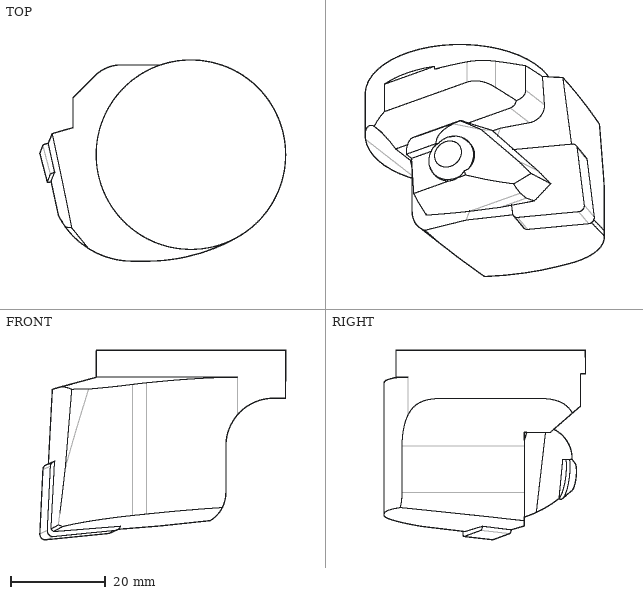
import cadquery as cq
import math

DISC_RADIUS = 20.0
DISC_HEIGHT = 5.7
CONE_ANGLE = 15.0
SHOULDER_REACH = 40.0

SIDE_RADIUS = 17.5
BACK_SIDE_RADIUS = 38.7
FRONT_Y = -22.5
FLAT_START_X = -12.3
FLAT_END_X = -9.4
DISC_MEET_X = 9.8
SIDE_SWEEP = 75.0
STOCK_X = -36.0
FLOOR_Y = 7.1
HEAD_DEPTH = 45.0

OVERHANG_X = -24.9
OVERHANG_Y = 18.95
OVERHANG_CORNER_Y = 12.0
OVERHANG_CORNER_RADIUS = 8.0
OVERHANG_BOTTOM = -17.3
OVERHANG_LIP_RADIUS = 3.5
OVERHANG_SLOPE_TOP = -11.8
OVERHANG_SLOPE_Y = 12.6
OVERHANG_INNER_Y = 3.0
FLAT_TOP = -5.0

NECK_X = 7.4
NECK_TOP = -10.15
NECK_RADIUS = 10.0
HEEL_TOP = -30.0
HEEL_RADIUS = 7.0

FRONT_FACE = ((-29.3, 4.7, -8.3), (-1.0, -0.207, 0.08))
BOTTOM_FACE = ((6.8, -18.6, -33.2), (0.106, -0.0961, -1.0))
TOE_CHAMFER = 0.6
TOE_POINT = (-29.0, -6.0, -38.5)

CORNER_TOP = cq.Vector(-25.3, -15.2, -8.0)
CORNER_TOP_ANGLE = -51.0
CORNER_BOTTOM = cq.Vector(-26.35, -15.45, -24.4)
CORNER_BOTTOM_ANGLE = -61.0
CORNER_REACH = 10.0

INSERT_TIP = cq.Vector(-31.95, 0.1, -40.13)
RAKE_NORMAL = cq.Vector(-0.25, 0.96, -0.11).normalized()
EDGE_DIRECTION = cq.Vector(1.0, 0.272, 0.1)
INSERT_ANGLE = 80.0
INSERT_EDGE = 16.1
INSERT_THICKNESS = 6.35
INSERT_NOSE_RADIUS = 1.2

CLAMP_START_X = -30.0
CLAMP_END_X = 2.0
CLAMP_ROOT_Y = -1.0
CLAMP_ROOT_TOP = -17.0
CLAMP_UNDERSIDE = -35.6
CLAMP_SHOULDER = (13.0, -16.5)
CLAMP_BACK_MIDDLE = (16.2, -19.3)
CLAMP_BACK_END = (17.2, -23.0)
CLAMP_SEAT_TOP = (15.2, -23.0)
CLAMP_SEAT_END = (14.4, -31.3)
CLAMP_HEEL_MIDDLE = (11.6, -33.2)
CLAMP_HEEL_END = (7.1, -35.2)
CLAMP_NOSE_Y = 5.3

RIDGE_TOP = (-14.0, 12.7, -20.1)
RIDGE_BOTTOM = (-21.1, 9.1, -28.6)
SHOULDER_TOP = (-9.0, 14.8, -16.8)
CLAMP_FACETS = (
    (RIDGE_TOP, (-15.0, 7.1, -19.6), (-26.0, 2.2, -33.0)),
    (RIDGE_BOTTOM, (-22.4, 3.3, -28.4), (-24.3, 5.0, -32.0)),
    (RIDGE_TOP, RIDGE_BOTTOM, (-11.0, 14.5, -31.0)),
    (RIDGE_TOP, SHOULDER_TOP, (-13.3, 8.2, -17.7)),
    (RIDGE_TOP, SHOULDER_TOP, (-9.0, 16.5, -22.0)),
    ((-23.7, 7.8, -31.7), (-25.3, 2.2, -32.3), (-22.0, 4.0, -34.7)),
)

SCREW_BASE = cq.Vector(-8.0, 14.6, -26.4)
SCREW_RADIUS = 5.0
SCREW_TOP_RADIUS = 3.0
SCREW_HEAD_HEIGHT = 2.8
SCREW_RIM = 0.8

CUTTER = 120.0


def beyond(point, normal):
    """Block that fills the space on the outward side of a slanted face."""
    plane = cq.Plane(origin=point, normal=normal)
    return cq.Workplane(plane).rect(CUTTER, CUTTER).extrude(CUTTER)


def beyond_points(first, second, third):
    """Block beyond the face through three points, on its -X side."""
    a, b, c = cq.Vector(first), cq.Vector(second), cq.Vector(third)
    normal = (b - a).cross(c - a)
    if normal.x > 0:
        normal = normal * -1
    return beyond(first, normal.toTuple())


def disc():
    """Round coupling disc."""
    return cq.Workplane("XY").circle(DISC_RADIUS).extrude(-DISC_HEIGHT)


def shoulder_envelope():
    """Everything under the conical shoulder."""
    fall = (SHOULDER_REACH - DISC_RADIUS) * math.tan(math.radians(CONE_ANGLE))
    return (
        cq.Workplane("XZ")
        .moveTo(0, -DISC_HEIGHT)
        .lineTo(DISC_RADIUS, -DISC_HEIGHT)
        .lineTo(SHOULDER_REACH, -DISC_HEIGHT - fall)
        .lineTo(SHOULDER_REACH, -HEAD_DEPTH)
        .lineTo(0, -HEAD_DEPTH)
        .close()
        .revolve(360, (0, 0), (0, 1))
    )


def main_block():
    """Part of the head between the curved side and the gullet floor."""
    def side_point(angle):
        a = math.radians(angle)
        return (
            FLAT_START_X - SIDE_RADIUS * math.sin(a),
            FRONT_Y + SIDE_RADIUS * (1 - math.cos(a)),
        )

    side_end = side_point(SIDE_SWEEP)
    disc_meet = (DISC_MEET_X, -math.sqrt(DISC_RADIUS**2 - DISC_MEET_X**2))
    floor_end = (math.sqrt(DISC_RADIUS**2 - FLOOR_Y**2), FLOOR_Y)
    return (
        cq.Workplane("XY", origin=(0, 0, -DISC_HEIGHT))
        .moveTo(STOCK_X, FLOOR_Y)
        .lineTo(STOCK_X, side_end[1])
        .lineTo(*side_end)
        .threePointArc(side_point(SIDE_SWEEP / 2), (FLAT_START_X, FRONT_Y))
        .lineTo(FLAT_END_X, FRONT_Y)
        .radiusArc(disc_meet, -BACK_SIDE_RADIUS)
        .threePointArc((DISC_RADIUS, 0), floor_end)
        .close()
        .extrude(DISC_HEIGHT - HEAD_DEPTH)
    )


def corner_cutter():
    """Twisted wedge that trims the corner, running out at its lower end."""
    def section(point, angle):
        along = cq.Vector(CORNER_REACH, 0, 0)
        outward = cq.Vector(0, -CORNER_REACH, 0)
        turn = cq.Location(point, cq.Vector(0, 0, 1), angle)
        corners = [along * -1, along, along + outward, outward - along]
        vertices = [cq.Vertex.makeVertex(*c.toTuple()).moved(turn).Center() for c in corners]
        return cq.Wire.makePolygon(vertices, close=True)

    top = section(CORNER_TOP, CORNER_TOP_ANGLE)
    bottom = section(CORNER_BOTTOM, CORNER_BOTTOM_ANGLE)
    return cq.Workplane(cq.Solid.makeLoft([top, bottom], True))


def overhang():
    """Roof over the chip gullet, with a rounded lip and a sloped underside."""
    corner_end_x = OVERHANG_X + OVERHANG_Y - OVERHANG_CORNER_Y
    flat_end = (math.sqrt(DISC_RADIUS**2 - OVERHANG_Y**2), OVERHANG_Y)
    inner_end = (math.sqrt(DISC_RADIUS**2 - OVERHANG_INNER_Y**2), OVERHANG_INNER_Y)
    middle = DISC_RADIUS * math.sqrt(0.5)
    roof = (
        cq.Workplane("XY", origin=(0, 0, -DISC_HEIGHT))
        .moveTo(OVERHANG_X, OVERHANG_INNER_Y)
        .lineTo(OVERHANG_X, OVERHANG_CORNER_Y)
        .lineTo(corner_end_x, OVERHANG_Y)
        .lineTo(*flat_end)
        .threePointArc((middle, middle), inner_end)
        .close()
        .extrude(OVERHANG_BOTTOM + DISC_HEIGHT)
    )
    corner_middle = (corner_end_x, OVERHANG_Y, (OVERHANG_BOTTOM - DISC_HEIGHT) / 2)
    roof = roof.edges(cq.NearestToPointSelector(corner_middle)).fillet(OVERHANG_CORNER_RADIUS)
    lip_middle = (OVERHANG_X, (OVERHANG_INNER_Y + OVERHANG_CORNER_Y) / 2, OVERHANG_BOTTOM)
    roof = roof.edges(cq.NearestToPointSelector(lip_middle)).fillet(OVERHANG_LIP_RADIUS)
    run = OVERHANG_Y - OVERHANG_SLOPE_Y
    rise = OVERHANG_SLOPE_TOP - OVERHANG_BOTTOM
    return roof.cut(beyond((0, OVERHANG_Y, OVERHANG_SLOPE_TOP), (0, rise, -run)))


def neck_clearance():
    """Space behind the neck and under the disc."""
    return (
        cq.Workplane("XZ")
        .moveTo(NECK_X - HEEL_RADIUS, HEEL_TOP - HEEL_RADIUS)
        .radiusArc((NECK_X, HEEL_TOP), -HEEL_RADIUS)
        .lineTo(NECK_X, NECK_TOP - NECK_RADIUS)
        .radiusArc((NECK_X + NECK_RADIUS, NECK_TOP), NECK_RADIUS)
        .lineTo(SHOULDER_REACH, NECK_TOP)
        .lineTo(SHOULDER_REACH, HEEL_TOP - HEEL_RADIUS)
        .close()
        .extrude(SHOULDER_REACH, both=True)
    )


def disc_flat():
    """Sliver of the disc removed where the flat side rises into it."""
    return (
        cq.Workplane("XY")
        .box(2 * DISC_RADIUS, DISC_RADIUS, NECK_RADIUS, centered=(True, False, False))
        .translate((0, OVERHANG_Y, FLAT_TOP - NECK_RADIUS))
    )


def clamp():
    """Clamp arm that reaches from the gullet onto the insert."""
    arm = (
        cq.Workplane("YZ", origin=(CLAMP_START_X, 0, 0))
        .moveTo(CLAMP_ROOT_Y, CLAMP_ROOT_TOP)
        .lineTo(*CLAMP_SHOULDER)
        .threePointArc(CLAMP_BACK_MIDDLE, CLAMP_BACK_END)
        .lineTo(*CLAMP_SEAT_TOP)
        .lineTo(*CLAMP_SEAT_END)
        .threePointArc(CLAMP_HEEL_MIDDLE, CLAMP_HEEL_END)
        .lineTo(CLAMP_NOSE_Y, CLAMP_UNDERSIDE)
        .lineTo(CLAMP_ROOT_Y, CLAMP_UNDERSIDE)
        .close()
        .extrude(CLAMP_END_X - CLAMP_START_X)
    )
    for facet in CLAMP_FACETS:
        arm = arm.cut(beyond_points(*facet))
    return arm


def clamp_screw():
    """Domed screw head: a low rim with a cone on it."""
    plane = cq.Plane(origin=SCREW_BASE, normal=RAKE_NORMAL)
    cone_height = SCREW_HEAD_HEIGHT - SCREW_RIM
    return (
        cq.Workplane(plane)
        .circle(SCREW_RADIUS)
        .extrude(SCREW_RIM)
        .faces(cq.DirectionMinMaxSelector(RAKE_NORMAL))
        .workplane()
        .circle(SCREW_RADIUS)
        .workplane(offset=cone_height)
        .circle(SCREW_TOP_RADIUS)
        .loft()
    )


def make_insert():
    """Rhombic plate with rounded corners, its rake face outward."""
    x_dir = EDGE_DIRECTION - RAKE_NORMAL * EDGE_DIRECTION.dot(RAKE_NORMAL)
    plane = cq.Plane(origin=INSERT_TIP, xDir=x_dir, normal=RAKE_NORMAL)
    side_x = INSERT_EDGE * math.cos(math.radians(INSERT_ANGLE))
    side_y = -INSERT_EDGE * math.sin(math.radians(INSERT_ANGLE))
    corners = [(0, 0), (INSERT_EDGE, 0), (INSERT_EDGE + side_x, side_y), (side_x, side_y)]
    plate = cq.Workplane(plane).polyline(corners).close().extrude(-INSERT_THICKNESS)
    return plate.edges(cq.ParallelDirSelector(RAKE_NORMAL)).fillet(INSERT_NOSE_RADIUS)


def make_head(insert):
    """Head with its clamp, and a seat that fits the insert."""
    block = main_block()
    block = block.cut(beyond(*FRONT_FACE))
    block = block.cut(beyond(*BOTTOM_FACE))
    block = block.edges(cq.NearestToPointSelector(TOE_POINT)).chamfer(TOE_CHAMFER)
    block = block.cut(corner_cutter())
    rake_side = beyond(INSERT_TIP, RAKE_NORMAL)
    block = block.cut(rake_side)
    block = block.union(overhang())
    block = block.intersect(shoulder_envelope())
    block = block.cut(neck_clearance())
    arm = clamp().intersect(rake_side).union(clamp_screw())
    block = block.union(arm)
    return block.union(disc()).cut(disc_flat()).cut(insert)


insert = make_insert()
head = make_head(insert)
result = cq.Compound.makeCompound([*head.vals(), insert.val()])